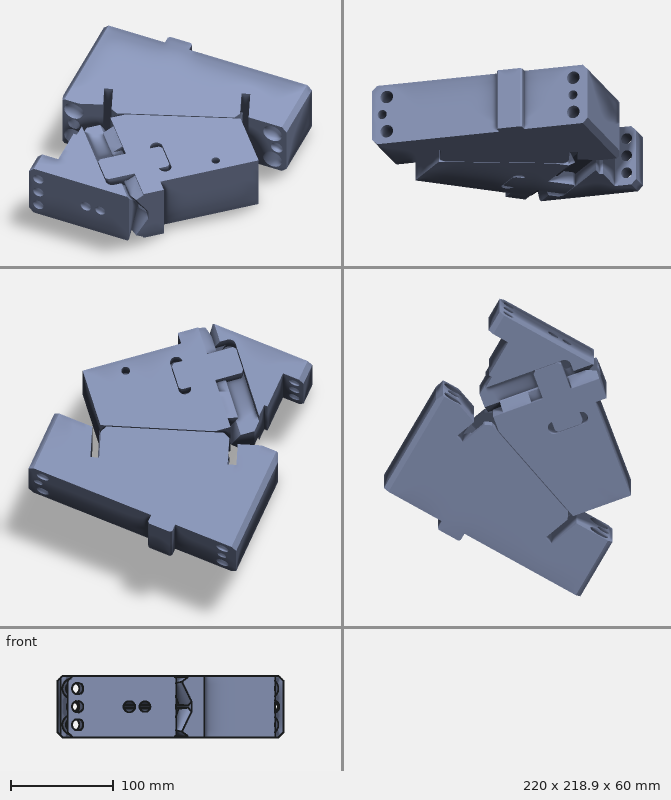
import cadquery as cq
import math

HEIGHT = 60.0
HALF = HEIGHT / 2
END_CHAMFER = 5.0
NECK_HALF = 17.2
SLOPE = 20
CAM = 40
VEE_RATIO = math.tan(math.radians(30))
REACH = 220

DRIVER_LENGTH = 220
DRIVER_BACK = 209.9
LEFT_FOOT_Y = 99.7
LEFT_FOOT_X = 20.7
FOOT_BEVEL_X = 3.0
FOOT_BEVEL_Y = 8.1
RIGHT_FOOT_Y = 146.7
NOSE_X = 59.5
NOSE_Y = 101.9
NOSE_FLAT = 114.6
NOSE_BEVEL = 5.3
SLOT_WIDTH = 8.5
SLOT_DEPTH = 33.2
LIP = 6.8
RECESS_HALF = 22.5

KEY_X = 64.7
KEY_WIDTH = 25.5
KEY_Y = 199.5
KEY_LENGTH = 19.4
KEY_CHAMFER = 1.8

SCREW_XS = (14.7, 205.0)
SCREW_Z = 17.5
SCREW_DIAMETER = 12.8
HEAD_DIAMETER = 19.8
HEAD_SEAT = 39.5
DOWEL_XS = (15.2, 209.7)
DOWEL_DIAMETER = 12.5
DOWEL_BORE = 9.2

RIDGE_X = 53.5
RIDGE_Y = 99
BASE_RIGHT_X = 115.5
BASE_LEFT_X = 35.2
BASE_STEP_X = 31.7
BASE_STEP_Y = 59.6
FLANGE_X = 10.0
FLANGE_Y = 21.5
LEDGE_DROP = 31.2
LEDGE_END = 95.0
RELIEF_RADIUS = 6.5
RELIEF_DEPTH = 4.5
FLANGE_HOLE_X = 19.8
FLANGE_HOLE_PITCH = 17.5
FLANGE_HOLE_DIAMETER = 11
CENTRE_HOLES = ((70.0, 11), (85.1, 10.3))

SLIDER_START = 5.7
SLIDER_END = 115.7
SLIDER_FACE = -1.3
TOE_BACK = 19.4
SIDE = 104.0
SLIDER_BACK = 119.5
NOSE_GAP = 1.0
LEG_START = 16.3
LEG_HALF = 28.5
LEG_TIP_RADIUS = 1.3
LEAD_LENGTH = 11.5
LEAD_ANGLE = 25
VEE_RELIEF_MOUTH = 4.2
VEE_RELIEF_FLOOR = 2.2
VEE_RELIEF_DEPTH = 3.5
NOTCH_START = 45.3
NOTCH_HALF = 23.0
NOTCH_GAP = 1.3
STRAP_START = 57.5
STRAP_END = 86.0
STRAP_TIP = -30.4
STRAP_BACK = 35.0
STRAP_CHAMFER = 2.6
POCKET_GAP = 0.9
DOGBONE_RADIUS = 6.2
TAP_ALONG = 92.0
TAP_ACROSS = 79.5
TAP_DIAMETER = 8.4
TAP_DEPTH = 15.5
DRILL_RATIO = 0.6
TONGUE_START = 11
TONGUE_END = 121.7
TONGUE_HALF = 11.9
TONGUE_DEPTH = 32.5


def direction(degrees):
    return cq.Vector(math.cos(math.radians(degrees)), math.sin(math.radians(degrees)), 0)


SLIDE = direction(CAM - 90)
ACROSS = direction(CAM)
NOSE = direction(SLOPE)
INWARD = direction(SLOPE + 90)
CREST = cq.Vector(RIDGE_X, RIDGE_Y, 0)
NOSE_START = cq.Vector(NOSE_X, NOSE_Y, 0)
CAM_PLANE = cq.Plane(origin=CREST.toTuple(), xDir=SLIDE.toTuple(), normal=(0, 0, 1))


def nose_point(along, depth):
    point = NOSE_START + NOSE * along + INWARD * depth
    return (point.x, point.y)


def nose_prism(profile, start, end):
    """Profile of (depth, Z) points swept along the nose from start to end."""
    origin = NOSE_START + NOSE * start
    plane = cq.Plane(origin=origin.toTuple(), xDir=INWARD.toTuple(), normal=NOSE.toTuple())
    return cq.Workplane(plane).polyline(profile).close().extrude(end - start)


def cam_prism(profile, start, end):
    """Profile of (across, Z) points swept along the slide from start to end."""
    origin = CREST + SLIDE * start
    plane = cq.Plane(origin=origin.toTuple(), xDir=ACROSS.toTuple(), normal=SLIDE.toTuple())
    return cq.Workplane(plane).polyline(profile).close().extrude(end - start)


def cam_box(start, end, low, high, bottom, top):
    """Block between places along the slide, across it and in Z."""
    box = cq.Workplane(CAM_PLANE).workplane(offset=bottom)
    return box.center(start, low).rect(end - start, high - low, centered=False).extrude(top - bottom)


def plate(points):
    return cq.Workplane("XY").polyline(points).close().extrude(HALF, both=True)


def both_faces(body):
    """The body together with its mirror image below Z = 0."""
    return body.union(body.mirror("XY"))


def cylinder_y(x, z, diameter, start, end):
    hole = cq.Workplane("XZ", origin=(x, start, z)).circle(diameter / 2)
    return hole.extrude(start - end)


def end_bevels(x, inward):
    """Wedges that bevel the top and bottom edges of an end face at x."""
    triangle = [(x, HALF), (x + inward * END_CHAMFER, HALF), (x, HALF - END_CHAMFER)]
    return both_faces(cq.Workplane("XZ").polyline(triangle).close().extrude(-REACH))


def vee_tongue(half_height, start):
    """Profile of a straight neck with a V-shaped crest, from a depth at its root."""
    shoulder = TONGUE_DEPTH - half_height * VEE_RATIO
    return [
        (start, -half_height), (shoulder, -half_height), (TONGUE_DEPTH, 0),
        (shoulder, half_height), (start, half_height),
    ]


def slot_mouth(along, y):
    """Point at height y on the slot wall that stands at this place along the nose."""
    depth = (y - NOSE_Y - along * NOSE.y) / INWARD.y
    return nose_point(along, depth)


def driver_outline():
    nose_left = -NOSE_BEVEL
    nose_right = NOSE_FLAT + NOSE_BEVEL
    slot_left = nose_left - SLOT_WIDTH
    slot_right = nose_right + SLOT_WIDTH
    foot_depth = INWARD.dot(cq.Vector(LEFT_FOOT_X, LEFT_FOOT_Y, 0) - NOSE_START)
    return [
        (0, DRIVER_BACK), (0, LEFT_FOOT_Y + FOOT_BEVEL_Y), (FOOT_BEVEL_X, LEFT_FOOT_Y),
        (LEFT_FOOT_X, LEFT_FOOT_Y), nose_point(slot_left, foot_depth),
        nose_point(slot_left, SLOT_DEPTH), nose_point(nose_left, SLOT_DEPTH),
        nose_point(nose_left, NOSE_BEVEL), nose_point(0, 0), nose_point(NOSE_FLAT, 0),
        nose_point(nose_right, NOSE_BEVEL), nose_point(nose_right, SLOT_DEPTH),
        nose_point(slot_right, SLOT_DEPTH), slot_mouth(slot_right, RIGHT_FOOT_Y),
        (DRIVER_LENGTH, RIGHT_FOOT_Y), (DRIVER_LENGTH, DRIVER_BACK),
    ]


def tee_slot():
    """Slot through the nose: lips at the face, wider behind them, V-shaped floor."""
    start = -NOSE_BEVEL - SLOT_WIDTH / 2
    end = NOSE_FLAT + NOSE_BEVEL + SLOT_WIDTH / 2
    shoulder = TONGUE_DEPTH - NECK_HALF * VEE_RATIO
    recess = [
        (LIP, -RECESS_HALF), (shoulder, -RECESS_HALF),
        (shoulder, RECESS_HALF), (LIP, RECESS_HALF),
    ]
    return nose_prism(vee_tongue(NECK_HALF, -LIP), start, end).union(nose_prism(recess, start, end))


def make_key():
    key = cq.Workplane("XY").box(KEY_WIDTH, KEY_LENGTH, HEIGHT, centered=(False, False, True))
    key = key.edges("|Z and >Y").chamfer(KEY_CHAMFER)
    return key.translate((KEY_X, KEY_Y, 0))


def make_driver():
    driver = plate(driver_outline())
    driver = driver.cut(end_bevels(0, 1)).cut(end_bevels(DRIVER_LENGTH, -1)).cut(tee_slot())
    for x in SCREW_XS:
        for z in (-SCREW_Z, SCREW_Z):
            driver = driver.cut(cylinder_y(x, z, SCREW_DIAMETER, 0, REACH))
            driver = driver.cut(cylinder_y(x, z, HEAD_DIAMETER, 0, DRIVER_BACK - HEAD_SEAT))
    for x in DOWEL_XS:
        driver = driver.cut(cylinder_y(x, 0, DOWEL_BORE, 0, REACH))
        driver = driver.cut(cylinder_y(x, 0, DOWEL_DIAMETER, 0, DRIVER_BACK - HEAD_SEAT))
    key = make_key()
    return driver.cut(key).union(key, clean=False)


def ridge_roof(half_height, depth):
    """V roof with its crest at the frame origin, reaching down to the given depth."""
    foot = -half_height * VEE_RATIO
    return [
        (0, 0), (foot, half_height), (-depth, half_height),
        (-depth, -half_height), (foot, -half_height),
    ]


def base_blank():
    facet_y = RIDGE_Y + (BASE_LEFT_X - RIDGE_X) / ACROSS.x * ACROSS.y
    right_top = RIDGE_Y + (BASE_RIGHT_X - RIDGE_X) / SLIDE.x * SLIDE.y
    outline = [
        (FLANGE_X, 0), (BASE_RIGHT_X, 0), (BASE_RIGHT_X, right_top), (RIDGE_X, RIDGE_Y),
        (BASE_LEFT_X, facet_y), (BASE_LEFT_X, BASE_STEP_Y), (BASE_STEP_X, BASE_STEP_Y),
        (BASE_STEP_X, FLANGE_Y), (FLANGE_X, FLANGE_Y),
    ]
    roof = cam_prism(ridge_roof(HALF, REACH), -REACH, REACH)
    return plate(outline).intersect(roof)


def shoulder_cut():
    """Step that leaves the ridge narrow, with a drilled relief in its inner corner."""
    step = cam_box(-REACH, LEDGE_END, -LEDGE_DROP, REACH, NECK_HALF, HALF)
    corner = CREST + SLIDE * LEDGE_END - ACROSS * LEDGE_DROP
    corner_edge = cq.selectors.NearestToPointSelector((corner.x, corner.y, (NECK_HALF + HALF) / 2))
    step = step.edges(corner_edge).fillet(RELIEF_RADIUS)
    relief = cq.Workplane(CAM_PLANE).workplane(offset=NECK_HALF - RELIEF_DEPTH)
    relief = relief.center(LEDGE_END - RELIEF_RADIUS, RELIEF_RADIUS - LEDGE_DROP)
    return both_faces(step.union(relief.circle(RELIEF_RADIUS).extrude(RELIEF_DEPTH)))


def make_base():
    base = base_blank().cut(shoulder_cut()).cut(end_bevels(FLANGE_X, 1))
    for z in (-FLANGE_HOLE_PITCH, 0, FLANGE_HOLE_PITCH):
        base = base.cut(cylinder_y(FLANGE_HOLE_X, z, FLANGE_HOLE_DIAMETER, 0, FLANGE_Y))
    for x, diameter in CENTRE_HOLES:
        base = base.cut(cylinder_y(x, 0, diameter, 0, REACH))
    return base


def slider_body():
    face_start = NOSE_START - INWARD * NOSE_GAP - CREST
    along = SLIDE.dot(face_start)
    across = ACROSS.dot(face_start)
    slope = math.tan(math.radians(CAM - SLOPE))
    outline = [
        (SLIDER_START, SLIDER_FACE), (SLIDER_END, SLIDER_FACE), (SLIDER_END, TOE_BACK),
        (SIDE, TOE_BACK), (SIDE, SLIDER_BACK),
        (along + (SLIDER_BACK - across) * slope, SLIDER_BACK),
        (SLIDER_START, across + (SLIDER_START - along) / slope),
    ]
    return cq.Workplane(CAM_PLANE).polyline(outline).close().extrude(HALF, both=True)


def leg_tip():
    """Across place and Z where a leg end, square to the ridge face, meets that face."""
    reach = (SLIDER_FACE + LEG_HALF * VEE_RATIO) / (1 + VEE_RATIO ** 2)
    return SLIDER_FACE - reach, LEG_HALF - reach * VEE_RATIO


def legs():
    """Pair of legs that straddle the ridge, with rounded tips and notches beside the straps."""
    tip, tip_z = leg_tip()
    leg = cam_prism([(0, 0), (tip, tip_z), (SLIDER_FACE, LEG_HALF), (0, LEG_HALF)], LEG_START, SLIDER_END)
    tip_edge = CREST + SLIDE * ((LEG_START + SLIDER_END) / 2) + ACROSS * tip
    leg = leg.edges(cq.selectors.NearestToPointSelector((tip_edge.x, tip_edge.y, tip_z)))
    leg = leg.fillet(LEG_TIP_RADIUS)
    notch = cam_box(NOTCH_START, STRAP_END + NOTCH_GAP, -REACH, SLIDER_FACE, NOTCH_HALF, HALF)
    return both_faces(leg.cut(notch))


def vee_groove():
    """Groove that fits the ridge, with a relief along its crest and a lead-in at the toe end."""
    groove = cam_prism(ridge_roof(REACH, REACH), -REACH, REACH)
    mouth = VEE_RELIEF_MOUTH / 2
    floor = VEE_RELIEF_FLOOR / 2
    relief = [
        (-mouth * VEE_RATIO, -mouth), (VEE_RELIEF_DEPTH, -floor),
        (VEE_RELIEF_DEPTH, floor), (-mouth * VEE_RATIO, mouth),
    ]
    return groove.union(cam_prism(relief, -REACH, REACH)).union(lead_in())


def lead_in():
    """Copy of the ridge turned away from the base, starting at the leg tips near the toe end."""
    tip, _ = leg_tip()
    pivot = CREST + SLIDE * (SLIDER_END - LEAD_LENGTH) + ACROSS * tip
    pivot_top = pivot + cq.Vector(0, 0, 2.2)
    start = SLIDER_END - 2 * LEAD_LENGTH
    end = SLIDER_END + 2 * LEAD_LENGTH
    lead = cam_prism(ridge_roof(HALF, TOE_BACK), start, end)
    lead = lead.rotate(pivot.toTuple(), pivot_top.toTuple(), LEAD_ANGLE)
    return lead.intersect(cam_box(start, end, -REACH, VEE_RELIEF_DEPTH, -HALF, HALF))


def straps():
    """Flush straps that reach from their pockets over the ridge toward the base shoulder."""
    strap = cam_box(STRAP_START, STRAP_END, STRAP_TIP, STRAP_BACK, NECK_HALF, HALF)
    return both_faces(strap.edges("|Z").chamfer(STRAP_CHAMFER))


def strap_pockets():
    """Pockets that hold the straps, with a dogbone relief at both inner corners."""
    pocket_end = STRAP_BACK + POCKET_GAP
    pocket = cam_box(STRAP_START, STRAP_END, SLIDER_FACE, pocket_end, NECK_HALF, HALF)
    for along in (STRAP_START, STRAP_END):
        relief = cq.Workplane(CAM_PLANE).workplane(offset=NECK_HALF)
        relief = relief.center(along, pocket_end - DOGBONE_RADIUS).circle(DOGBONE_RADIUS)
        pocket = pocket.union(relief.extrude(HALF - NECK_HALF))
    return both_faces(pocket)


def tap_hole():
    """Drilled hole with a conical floor."""
    radius = TAP_DIAMETER / 2
    profile = [(0, 0), (radius, 0), (radius, -TAP_DEPTH), (0, -TAP_DEPTH - radius * DRILL_RATIO)]
    centre = CREST + SLIDE * TAP_ALONG + ACROSS * TAP_ACROSS
    hole = cq.Workplane("XZ").polyline(profile).close().revolve(360, (0, 0), (0, 1))
    return hole.translate((centre.x, centre.y, HALF))


def make_slider():
    slider = slider_body().union(legs()).cut(vee_groove())
    slider = slider.cut(strap_pockets()).union(straps())
    slider = slider.union(nose_prism(vee_tongue(TONGUE_HALF, -LIP), TONGUE_START, TONGUE_END))
    return slider.cut(tap_hole())


driver = make_driver()
base = make_base()
slider = make_slider()
result = cq.Compound.makeCompound([body.solids().val() for body in (driver, base, slider)])